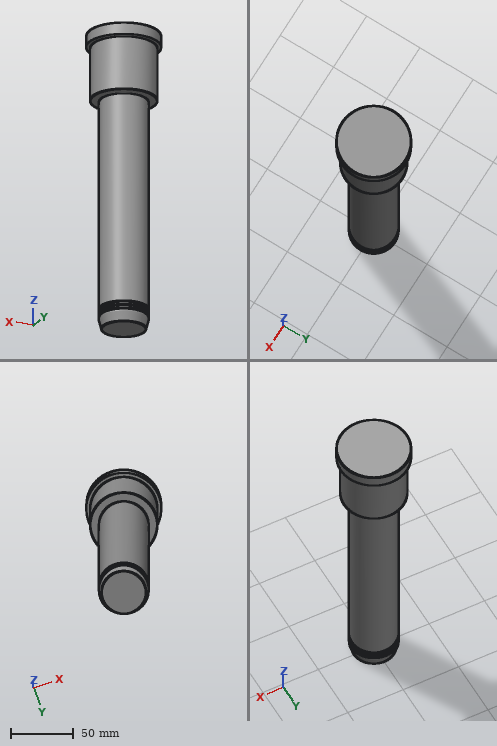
import cadquery as cq

total_length = 251.0
head_diameter = 60.0
head_height = 10.0
head_chamfer = 0.5
collar_diameter = 54.0
collar_height = 46.0
collar_chamfer = 0.5
shaft_diameter = 40.0

tip_diameter = 36.0
tip_height = 8.0
tip_chamfer = 0.5

groove_radius = 0.5
ring_count = 3
ring_pitch = 3.0
tip_to_first_ring = 2.0

head_bottom = total_length - head_height
collar_bottom = head_bottom - collar_height


def cylinder(diameter, bottom, height):
    """Solid cylinder on the Z axis."""
    return cq.Workplane("XY").workplane(offset=bottom).circle(diameter / 2).extrude(height)


def cut_groove(body, diameter, bottom):
    """Cut a half-round groove, starting at height bottom, around a cylinder of the given diameter."""
    center = cq.Vector(0, 0, bottom + groove_radius)
    return body.cut(cq.Workplane(cq.Solid.makeTorus(diameter / 2, groove_radius, center)))


def make_head():
    return cylinder(head_diameter, head_bottom, head_height).faces(">Z").chamfer(head_chamfer)


def make_collar():
    collar = cylinder(collar_diameter, collar_bottom, collar_height)
    collar = collar.faces("<Z").chamfer(collar_chamfer)
    return cut_groove(collar, collar_diameter, head_bottom - 2 * groove_radius)


def make_shaft():
    """Shaft with a chamfered conical tip, ring grooves and a relief below the collar."""
    shaft_radius = shaft_diameter / 2
    tip_radius = tip_diameter / 2
    profile = (
        cq.Workplane("XZ")
        .lineTo(tip_radius - tip_chamfer, 0)
        .lineTo(tip_radius, tip_chamfer)
        .lineTo(shaft_radius, tip_height)
        .lineTo(shaft_radius, collar_bottom)
        .lineTo(0, collar_bottom)
        .close()
    )
    shaft = profile.revolve(360, (0, 0, 0), (0, 1, 0))
    for index in range(ring_count):
        ring_bottom = tip_height + tip_to_first_ring + index * ring_pitch
        shaft = cut_groove(shaft, shaft_diameter, ring_bottom)
    return cut_groove(shaft, shaft_diameter, collar_bottom - 2 * groove_radius)


result = make_shaft().union(make_collar()).union(make_head())